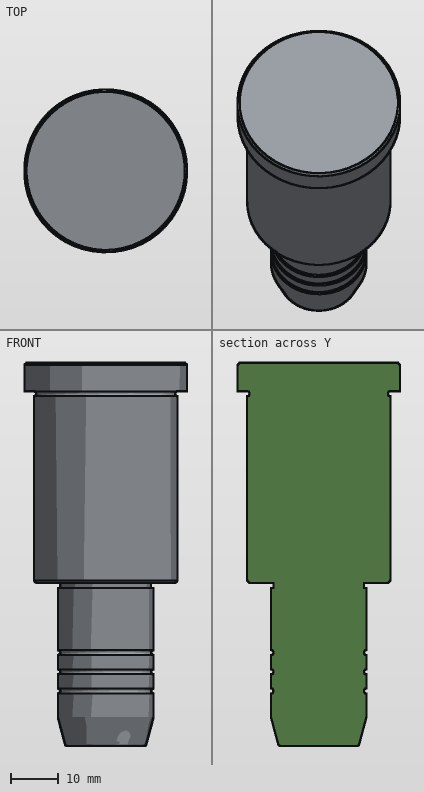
import cadquery as cq
import math

total_length = 80.0
head_length = 6.0
body_length = 40.0
head_radius = 17.0
body_radius = 15.0
pin_radius = 10.0

head_bottom = total_length - head_length
body_bottom = head_bottom - body_length
nose_top = 6.0

edge_chamfer = 0.5
tip_fillet = 0.5
groove_depth = 0.5
groove_width = 2 * groove_depth
oil_groove_count = 3
oil_groove_pitch = 4.0
first_oil_groove_top = 20.0

nose_angle = math.radians(15.0)
nose_end_radius = pin_radius - nose_top * math.tan(nose_angle)


def cylinder(radius, bottom, top):
    return cq.Workplane("XY").workplane(offset=bottom).circle(radius).extrude(top - bottom)


def revolve_about_z(profile):
    """Full turn about the part axis, keeping one face per profile segment."""
    return profile.revolve(360, (0, 0, 0), (0, 1, 0), clean=False)


def make_head():
    head = cylinder(head_radius, head_bottom, total_length)
    return head.faces(">Z").chamfer(edge_chamfer)


def make_body():
    body = cylinder(body_radius, body_bottom, head_bottom)
    return body.faces("<Z").chamfer(edge_chamfer)


def make_pin():
    """Pin shank with a tapered nose and a rounded edge at the tip."""
    profile = [
        (0, 0),
        (nose_end_radius, 0),
        (pin_radius, nose_top),
        (pin_radius, body_bottom),
        (0, body_bottom),
    ]
    pin = revolve_about_z(cq.Workplane("XZ").polyline(profile).close())
    return pin.faces("<Z").edges().fillet(tip_fillet)


def make_round_groove(radius, top):
    """Ring that cuts a half-round groove, its section two quarter arcs meeting at the groove bottom."""
    middle = top - groove_width / 2
    bottom = top - groove_width
    diagonal = groove_depth * math.sqrt(0.5)
    groove = (
        cq.Workplane("XZ")
        .moveTo(radius, top)
        .threePointArc((radius - diagonal, middle + diagonal), (radius - groove_depth, middle))
        .threePointArc((radius - diagonal, middle - diagonal), (radius, bottom))
        .close()
    )
    return revolve_about_z(groove)


def make_square_groove(radius, top):
    """Ring that cuts a square-cornered groove into a cylinder of the given radius."""
    outer = cylinder(radius, top - groove_width, top)
    core = cylinder(radius - groove_depth, top - groove_width, top)
    return outer.cut(core)


result = make_head().union(make_body()).union(make_pin())
result = result.cut(make_round_groove(body_radius, head_bottom), clean=False)
result = result.cut(make_square_groove(pin_radius, body_bottom), clean=False)
for index in range(oil_groove_count):
    groove_top = first_oil_groove_top - index * oil_groove_pitch
    result = result.cut(make_round_groove(pin_radius, groove_top), clean=False)